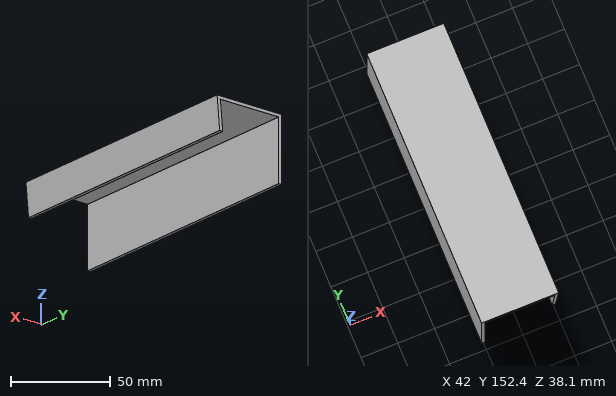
import cadquery as cq

length = 152.4
width = 42.0
height = 38.1
thickness = 2.0
short_leg_height = 19.0
short_leg_lean = 1.7

left = -width / 2
right = width / 2
top = height / 2
bottom = top - height
web_underside = top - thickness
short_leg_end = top - short_leg_height
lean_at_web = short_leg_lean * thickness / short_leg_height

profile = [
    (left, top),
    (right, top),
    (right - short_leg_lean, short_leg_end),
    (right - short_leg_lean - thickness, short_leg_end),
    (right - lean_at_web - thickness, web_underside),
    (left + thickness, web_underside),
    (left + thickness, bottom),
    (left, bottom),
]

result = cq.Workplane("XZ").polyline(profile).close().extrude(length / 2, both=True)